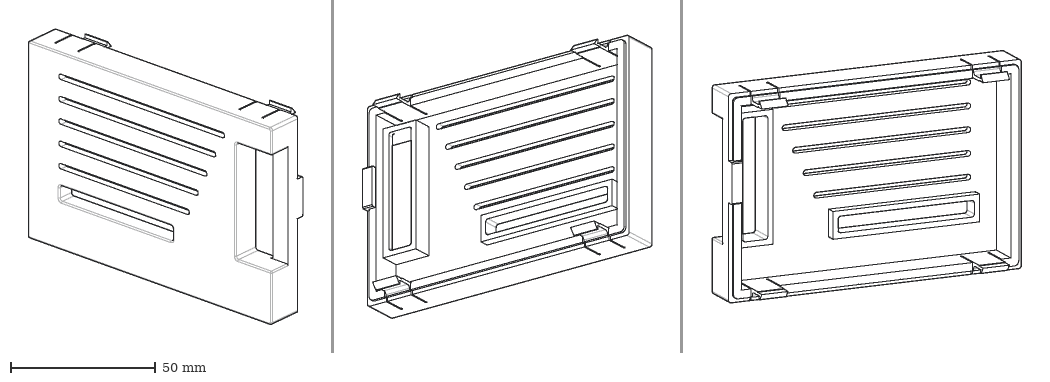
import cadquery as cq

LENGTH = 112.0
HEIGHT = 75.0
SHELL_DEPTH = 13.9
WALL = 4.5
FRONT_THICKNESS = 3.0
CORNER_RADIUS = 1.0
EDGE_RADIUS = 0.6

LIP_INSET = 1.5
LIP_HEIGHT = 1.0
LIP_CORNER = 1.7
LIP_TOP = SHELL_DEPTH + LIP_HEIGHT

VENT_COUNT = 5
VENT_LEFT = 14.3
VENT_TOP_LENGTH = 76.0
VENT_SHORTENING = 4.0
VENT_WIDTH = 2.0
VENT_TOP_Z = 65.9
VENT_PITCH = 8.5

COLLAR = 2.0
COLLAR_START = FRONT_THICKNESS / 2
WINDOW_LEFT = 14.6
WINDOW_BOTTOM = 18.4
WINDOW_LENGTH = 52.1
WINDOW_HEIGHT = 5.9
WINDOW_CORNER = 1.0
WINDOW_DEPTH = 6.6

RECESS_LEFT = 95.5
RECESS_BOTTOM = 20.4
RECESS_TOP = 64.7
RECESS_DEPTH = 8.7
RECESS_CORNER = 1.0
FLOOR_LEFT = 105.0
FLOOR_THICKNESS = 2.0
RECESS_HEIGHT = RECESS_TOP - RECESS_BOTTOM

TAB_BOTTOM = 36.0
TAB_HEIGHT = 15.1
TAB_WIDTH = 4.1
TAB_TOP_Y = 16.8
TAB_CHAMFER = 0.5

CLIP_LEFT = 8.6
CLIP_WIDTH = 10.1
CLIP_TIP_Y = 22.7
ARM_THICKNESS = 1.2
ROOT_FILLET = 1.1
HOOK_BACK_Y = 20.4
HOOK_PEAK_Y = 20.8
HOOK_PEAK_INSET = 1.9
HOOK_TIP_INSET = 4.3
TIP_RELIEF_Y = 19.3
SLIT_WIDTH = 0.5
SLIT_START_Y = 5.0


def box(x, y, z, length, depth, height):
    """Box given by its lowest corner and its sizes along X, Y and Z."""
    return cq.Workplane("XY").box(length, depth, height, centered=False).translate((x, y, z))


def rounded_box(x, y, z, length, depth, height, radius):
    """Box with its four edges along Y rounded."""
    return box(x, y, z, length, depth, height).edges("|Y").fillet(radius)


def shell():
    body = rounded_box(0, 0, 0, LENGTH, SHELL_DEPTH, HEIGHT, CORNER_RADIUS)
    lip = rounded_box(
        LIP_INSET, FRONT_THICKNESS, LIP_INSET,
        LENGTH - 2 * LIP_INSET, LIP_TOP - FRONT_THICKNESS, HEIGHT - 2 * LIP_INSET, LIP_CORNER,
    )
    cavity = box(
        WALL, FRONT_THICKNESS, WALL,
        LENGTH - 2 * WALL, LIP_TOP - FRONT_THICKNESS, HEIGHT - 2 * WALL,
    )
    return body.union(lip).cut(cavity)


def vents():
    slots = cq.Workplane("XY")
    for row in range(VENT_COUNT):
        length = VENT_TOP_LENGTH - row * VENT_SHORTENING
        slot = (
            cq.Workplane("XZ")
            .center(VENT_LEFT + length / 2, VENT_TOP_Z - row * VENT_PITCH)
            .slot2D(length, VENT_WIDTH)
            .extrude(-FRONT_THICKNESS)
        )
        slots = slots.add(slot)
    return slots.combine()


def window_collar():
    return box(
        WINDOW_LEFT - COLLAR, COLLAR_START, WINDOW_BOTTOM - COLLAR,
        WINDOW_LENGTH + 2 * COLLAR, WINDOW_DEPTH - COLLAR_START, WINDOW_HEIGHT + 2 * COLLAR,
    )


def window_opening():
    return rounded_box(
        WINDOW_LEFT, 0, WINDOW_BOTTOM, WINDOW_LENGTH, WINDOW_DEPTH, WINDOW_HEIGHT, WINDOW_CORNER
    )


def recess_walls():
    left = RECESS_LEFT - COLLAR
    return box(
        left, COLLAR_START, RECESS_BOTTOM - COLLAR,
        LENGTH - WALL - left,
        RECESS_DEPTH + FLOOR_THICKNESS - COLLAR_START,
        RECESS_HEIGHT + 2 * COLLAR,
    )


def recess_opening():
    pocket = rounded_box(
        RECESS_LEFT, 0, RECESS_BOTTOM, LENGTH + WALL - RECESS_LEFT, RECESS_DEPTH, RECESS_HEIGHT,
        RECESS_CORNER,
    )
    through = rounded_box(
        RECESS_LEFT, 0, RECESS_BOTTOM, FLOOR_LEFT - RECESS_LEFT, LIP_TOP, RECESS_HEIGHT,
        RECESS_CORNER,
    )
    return pocket.union(through)


def tab():
    block = box(
        LENGTH - TAB_WIDTH, RECESS_DEPTH + FLOOR_THICKNESS, TAB_BOTTOM,
        TAB_WIDTH, TAB_TOP_Y - RECESS_DEPTH - FLOOR_THICKNESS, TAB_HEIGHT,
    )
    return block.faces(">Y").edges("|X").chamfer(TAB_CHAMFER)


def mirrored_four_ways(part):
    """The part together with its mirror images across the middle of X and of Z."""
    pair = part.union(part.mirror("YZ", (LENGTH / 2, 0, 0)))
    return pair.union(pair.mirror("XY", (0, 0, HEIGHT / 2)))


def clip():
    """Top left clip: an arm flush with the inside of the wall, hooked outwards."""
    inner_z = HEIGHT - WALL
    outer_z = inner_z + ARM_THICKNESS
    tip_z = HEIGHT - HOOK_TIP_INSET
    peak_z = HEIGHT - HOOK_PEAK_INSET
    root_z = outer_z + ROOT_FILLET
    return (
        cq.Workplane("YZ", origin=(CLIP_LEFT, 0, 0))
        .moveTo(SHELL_DEPTH, inner_z)
        .lineTo(TIP_RELIEF_Y, inner_z)
        .lineTo(TIP_RELIEF_Y, tip_z)
        .lineTo(CLIP_TIP_Y, tip_z)
        .lineTo(HOOK_PEAK_Y, peak_z)
        .lineTo(HOOK_BACK_Y, peak_z)
        .lineTo(HOOK_BACK_Y, outer_z)
        .lineTo(LIP_TOP + ROOT_FILLET, outer_z)
        .radiusArc((LIP_TOP, root_z), ROOT_FILLET)
        .lineTo(SHELL_DEPTH, root_z)
        .close()
        .extrude(CLIP_WIDTH)
    )


def clip_slits():
    """Pair of slits through the wall that free the top left clip."""
    slits = cq.Workplane("XY")
    for x in (CLIP_LEFT - SLIT_WIDTH, CLIP_LEFT + CLIP_WIDTH):
        slits = slits.add(
            box(x, SLIT_START_Y, HEIGHT - WALL, SLIT_WIDTH, LIP_TOP - SLIT_START_Y, WALL)
        )
    return slits.combine()


def round_visible_edges(body):
    """Round the recess mouth on the right side, then every edge of the front face."""
    mouth = cq.selectors.BoxSelector(
        (LENGTH - EDGE_RADIUS, 0, RECESS_BOTTOM - EDGE_RADIUS),
        (LENGTH + EDGE_RADIUS, RECESS_DEPTH, RECESS_TOP + EDGE_RADIUS),
    )
    body = body.edges("|Y").edges(mouth).fillet(EDGE_RADIUS)
    return body.faces("<Y").edges().fillet(EDGE_RADIUS)


housing = (
    shell()
    .union(window_collar())
    .union(recess_walls())
    .cut(window_opening())
    .cut(recess_opening())
)

result = (
    round_visible_edges(housing)
    .cut(vents())
    .union(tab())
    .cut(mirrored_four_ways(clip_slits()))
    .union(mirrored_four_ways(clip()))
)